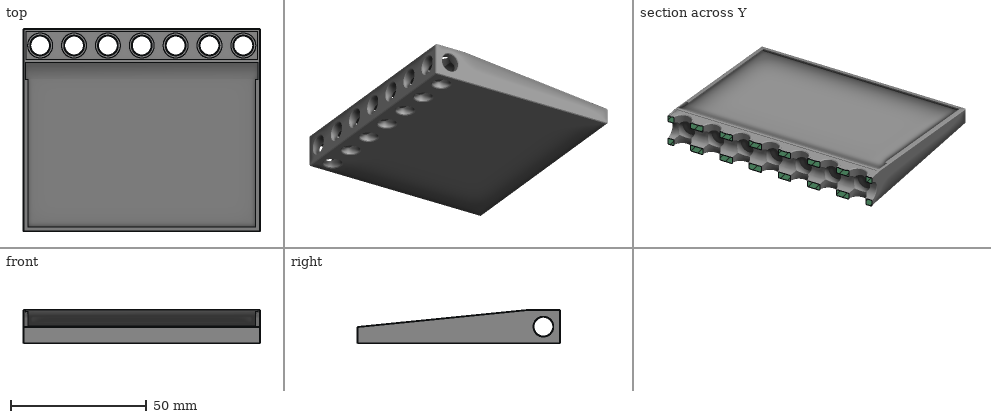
import cadquery as cq
import math

unit = 12.5
columns = 7
rows = 6
length = columns * unit
width = rows * unit
height = unit
front_height = unit / 2
edge_chamfer = 0.3

hole_diameter = 7.0
mouth_chamfer = 0.3
ring_diameter = 9.2

recess_inset = 1.0
recess_depth = 0.2

tray_wall = 0.75
tray_depth = 1.55
lip_overhang = 1.0
lip_thickness = 0.5
cove_length = unit / 2

beam_front = width - unit
beam_axis_y = width - unit / 2
beam_axis_z = height / 2
cove_foot = beam_front - cove_length
slope = (height - front_height) / beam_front
hole_positions = [(i - (columns - 1) / 2) * unit for i in range(columns)]


def slope_z(y, depth=0.0):
    """Height at y of the sloping top, or of a parallel plane lowered by depth."""
    return front_height + slope * y - depth


def extrude_across(profile, span):
    """Close a (Y, Z) profile and extrude it symmetrically along X."""
    return profile.close().extrude(span / 2, both=True)


def wedge_body():
    profile = (
        cq.Workplane("YZ")
        .moveTo(0, 0)
        .lineTo(width, 0)
        .lineTo(width, height)
        .lineTo(beam_front, height)
        .lineTo(0, front_height)
    )
    body = extrude_across(profile, length)
    return body.faces("<Y or >Y or <X or >X").edges().chamfer(edge_chamfer)


def tray_layer(margin, bottom_depth, top_depth):
    """Layer parallel to the sloping top, inset by margin from the front and sides, up to the cove."""
    profile = (
        cq.Workplane("YZ")
        .moveTo(margin, slope_z(margin, bottom_depth))
        .lineTo(cove_foot, slope_z(cove_foot, bottom_depth))
        .lineTo(cove_foot, slope_z(cove_foot, top_depth))
        .lineTo(margin, slope_z(margin, top_depth))
    )
    return extrude_across(profile, length - 2 * margin)


def tray_cutter():
    """Card space reaching under the lip, and the smaller opening inside the lip."""
    card_space = tray_layer(tray_wall, tray_depth, lip_thickness)
    opening = tray_layer(tray_wall + lip_overhang, tray_depth, 0)
    return card_space.union(opening)


def cove_cutter():
    """Concave arc from the beam's front edge down to the tray floor, tangent to the floor."""
    foot_z = slope_z(cove_foot, tray_depth)
    rise = height - foot_z
    chord_angle = math.atan2(rise, cove_length)
    half_sweep = chord_angle - math.atan(slope)
    sagitta = math.hypot(cove_length, rise) / 2 * math.tan(half_sweep / 2)
    arc_middle = (
        cove_foot + cove_length / 2 + sagitta * math.sin(chord_angle),
        foot_z + rise / 2 - sagitta * math.cos(chord_angle),
    )
    profile = (
        cq.Workplane("YZ")
        .moveTo(cove_foot, height)
        .lineTo(cove_foot, foot_z)
        .threePointArc(arc_middle, (beam_front, height))
    )
    return extrude_across(profile, length - 2 * tray_wall)


def beam_recess_cutter():
    floor = cq.Workplane("XY", origin=(0, beam_axis_y, height - recess_depth))
    recess = floor.rect(length - 2 * recess_inset, unit - 2 * recess_inset).extrude(recess_depth)
    rings = floor.pushPoints([(x, 0) for x in hole_positions]).circle(ring_diameter / 2).extrude(recess_depth)
    return recess.cut(rings)


def hole_cutter(span):
    """Hole of the given length along +Z from the origin, flared by a chamfer at its start."""
    radius = hole_diameter / 2
    bore = cq.Workplane("XY").circle(radius).extrude(span)
    mouth = cq.Workplane(cq.Solid.makeCone(radius + mouth_chamfer, radius, mouth_chamfer))
    return bore.union(mouth)


def through_hole_cutter(span):
    """Hole of the given length along +Z from the origin, flared at both ends."""
    hole = hole_cutter(span)
    return hole.union(hole.mirror("XY").translate((0, 0, span)))


def grid_holes():
    """One hole along the beam; at each grid position a vertical hole and a blind one from the back."""
    vertical = through_hole_cutter(height)
    crosswise = hole_cutter(unit).rotate((0, 0, 0), (1, 0, 0), 90)
    lengthwise = through_hole_cutter(length).rotate((0, 0, 0), (0, 1, 0), 90)
    cutter = lengthwise.translate((-length / 2, beam_axis_y, beam_axis_z))
    for x in hole_positions:
        cutter = cutter.union(vertical.translate((x, beam_axis_y, 0)))
        cutter = cutter.union(crosswise.translate((x, width, beam_axis_z)))
    return cutter


result = (
    wedge_body()
    .cut(tray_cutter())
    .cut(cove_cutter())
    .cut(beam_recess_cutter())
    .cut(grid_holes())
)